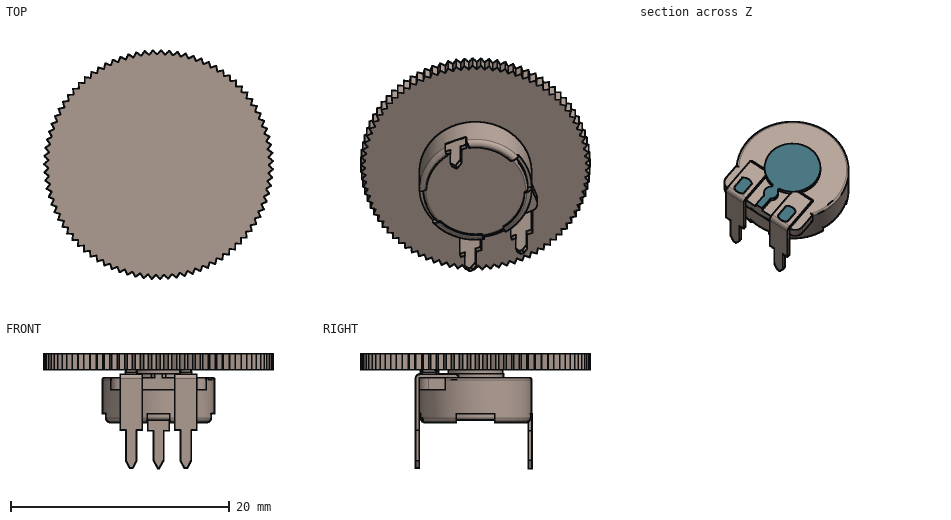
import cadquery as cq
import math


OVERALL_HEIGHT = 10.55

WHEEL_TIP_RADIUS = 10.5
TOOTH_DEPTH = 0.4
TOOTH_COUNT = 87
FIRST_TOOTH_ANGLE = 1.81
WHEEL_BOTTOM = 4.83
WHEEL_THICKNESS = 1.5

HOUSING_DIAMETER = 10.3
HOUSING_HEIGHT = 4.12
HOUSING_BOTTOM_FILLET = 0.47
HOUSING_TOP_FILLET = 0.2
CAVITY_DIAMETER = 9.0
CAVITY_FLOOR = 0.24
CORE_DIAMETER = 9.6
CORE_FILLET = 0.23
NOTCH_HEIGHT = 0.84
SIDE_NOTCH_WIDTH = 3.5
END_NOTCH_WIDTH = 2.1

BLOCK_WIDTH = 8.72
BLOCK_BOTTOM = 3.04
BLOCK_BACK_Y = -2.75
BLOCK_CORNER_RADIUS = 0.82
TAB_WIDTH = 0.72
BOSS_DIAMETER = 1.3
BOSS_Y = -3.3

FLANGE_DIAMETER = 5.15
FLANGE_TOP = 4.48
HUB_DIAMETER = 5.0

SHEET = 0.35
SHEET_TOP = 4.45
BEND_RADIUS = 0.4
OUTER_PITCH = 2.5
OUTER_BLADE_WIDTH = 2.04
OUTER_PIN_WIDTH = 1.0
OUTER_SHOULDER_Z = -0.68
OUTER_TAPER_Z = -3.48
OUTER_TIP_Z = -4.17
OUTER_TIP_WIDTH = 0.28
PAD_BACK_Y = -1.55
PAD_BEVEL = 0.2
CENTER_BLADE_WIDTH = 2.0
CENTER_PIN_WIDTH = 0.96
CENTER_SHOULDER_Z = -0.75
CENTER_TAPER_Z = -3.44
CENTER_TIP_Z = WHEEL_BOTTOM + WHEEL_THICKNESS - OVERALL_HEIGHT
CENTER_TIP_WIDTH = 0.1
CENTER_OUTER_Y = 5.18

RIVET_DIAMETER = 1.7
RIVET_WIDTH = 1.1
RIVET_Y = -4.23
RIVET_CHAMFER_Z = 4.63
RIVET_CHAMFER = 0.1

HOUSING_RADIUS = HOUSING_DIAMETER / 2
BLOCK_FRONT_Y = -HOUSING_RADIUS
TERMINAL_FRONT_Y = BLOCK_FRONT_Y - SHEET


def box(x_range, y_range, z_range):
    """Box spanning the given (low, high) ranges."""
    (x0, x1), (y0, y1), (z0, z1) = x_range, y_range, z_range
    return cq.Workplane("XY").box(x1 - x0, y1 - y0, z1 - z0, centered=False).translate((x0, y0, z0))


def cylinder(diameter, bottom, top):
    """Cylinder on the wheel axis."""
    return cq.Workplane("XY").workplane(offset=bottom).circle(diameter / 2).extrude(top - bottom)


def make_wheel():
    """Disc with straight-flanked V teeth around its rim."""
    half_pitch = math.pi / TOOTH_COUNT
    start = math.radians(FIRST_TOOTH_ANGLE)
    root_radius = WHEEL_TIP_RADIUS - TOOTH_DEPTH
    rim = []
    for step in range(2 * TOOTH_COUNT):
        radius = WHEEL_TIP_RADIUS if step % 2 == 0 else root_radius
        angle = start + step * half_pitch
        rim.append((radius * math.cos(angle), radius * math.sin(angle)))
    return cq.Workplane("XY").workplane(offset=WHEEL_BOTTOM).polyline(rim).close().extrude(WHEEL_THICKNESS)


def make_housing():
    """Round housing with a recessed floor and four notches that reach in to its core."""
    housing = cylinder(HOUSING_DIAMETER, 0, HOUSING_HEIGHT)
    housing = housing.faces("<Z").edges().fillet(HOUSING_BOTTOM_FILLET)
    housing = housing.faces(">Z").edges().fillet(HOUSING_TOP_FILLET)

    notch_length = 2 * HOUSING_DIAMETER
    notches = cq.Workplane("XY").rect(notch_length, SIDE_NOTCH_WIDTH).extrude(NOTCH_HEIGHT)
    notches = notches.union(cq.Workplane("XY").rect(END_NOTCH_WIDTH, notch_length).extrude(NOTCH_HEIGHT))
    recess = cylinder(CAVITY_DIAMETER, 0, CAVITY_FLOOR)
    core = cylinder(CORE_DIAMETER, CAVITY_FLOOR, HOUSING_HEIGHT)
    core = core.faces("<Z").edges().fillet(CORE_FILLET)
    return housing.cut(notches).cut(recess).union(core)


def make_block():
    """Flat-fronted terminal block with a narrow tab and a round boss standing at its middle."""
    block = box(
        (-BLOCK_WIDTH / 2, BLOCK_WIDTH / 2),
        (BLOCK_FRONT_Y, BLOCK_BACK_Y),
        (BLOCK_BOTTOM, HOUSING_HEIGHT),
    )
    block = block.edges("|Z and <Y").fillet(BLOCK_CORNER_RADIUS)
    tab = box(
        (-TAB_WIDTH / 2, TAB_WIDTH / 2),
        (BLOCK_FRONT_Y, 0),
        (HOUSING_HEIGHT, FLANGE_TOP),
    )
    boss = cylinder(BOSS_DIAMETER, HOUSING_HEIGHT, FLANGE_TOP).translate((0, BOSS_Y, 0))
    return block.union(tab).union(boss)


def make_rotor():
    """Stepped hub that carries the wheel."""
    flange = cylinder(FLANGE_DIAMETER, HOUSING_HEIGHT, FLANGE_TOP)
    return flange.union(cylinder(HUB_DIAMETER, FLANGE_TOP, WHEEL_BOTTOM))


def make_blade(top, blade_width, shoulder, pin_width, taper, tip, tip_width, front_y):
    """Upright terminal blade that steps down to a pointed solder pin."""
    right_side = [
        (blade_width / 2, top),
        (blade_width / 2, shoulder),
        (pin_width / 2, shoulder),
        (pin_width / 2, taper),
        (tip_width / 2, tip),
    ]
    left_side = [(-x, z) for x, z in reversed(right_side)]
    blade = cq.Workplane("XZ").polyline(right_side + left_side).close().extrude(-SHEET)
    return blade.translate((0, front_y, 0))


def make_outer_terminal(x):
    """Bent terminal lying on the block, with its rivet."""
    blade = make_blade(
        SHEET_TOP, OUTER_BLADE_WIDTH, OUTER_SHOULDER_Z, OUTER_PIN_WIDTH,
        OUTER_TAPER_Z, OUTER_TIP_Z, OUTER_TIP_WIDTH, TERMINAL_FRONT_Y,
    )
    half_width = OUTER_BLADE_WIDTH / 2
    pad = box(
        (-half_width, half_width),
        (TERMINAL_FRONT_Y, PAD_BACK_Y),
        (SHEET_TOP - SHEET, SHEET_TOP),
    )
    pad = pad.edges(">Y and >Z").chamfer(PAD_BEVEL)
    terminal = blade.union(pad).edges("<Y and >Z").fillet(BEND_RADIUS)
    return terminal.union(make_rivet()).translate((x, 0, 0))


def make_rivet():
    """Round rivet with two flattened sides and a narrower, bevelled top."""
    middle = RIVET_CHAMFER_Z - SHEET_TOP
    crown = WHEEL_BOTTOM - RIVET_CHAMFER_Z
    flat_slab = cq.Workplane("XY").rect(RIVET_WIDTH, RIVET_DIAMETER).extrude(middle + crown)
    rivet = cq.Workplane("XY").circle(RIVET_DIAMETER / 2).extrude(middle + crown).intersect(flat_slab)
    rivet = rivet.faces(">Z").edges().chamfer(RIVET_CHAMFER, crown)
    return rivet.translate((0, RIVET_Y, SHEET_TOP))


def make_center_terminal():
    """Wiper terminal leaving the housing through its +Y notch."""
    front_y = CENTER_OUTER_Y - SHEET
    blade = make_blade(
        NOTCH_HEIGHT, CENTER_BLADE_WIDTH, CENTER_SHOULDER_Z, CENTER_PIN_WIDTH,
        CENTER_TAPER_Z, CENTER_TIP_Z, CENTER_TIP_WIDTH, front_y,
    )
    strip = box(
        (-CENTER_BLADE_WIDTH / 2, CENTER_BLADE_WIDTH / 2),
        (0, CENTER_OUTER_Y),
        (NOTCH_HEIGHT - SHEET, NOTCH_HEIGHT),
    )
    return blade.union(strip)


result = make_housing().union(make_block()).union(make_rotor()).union(make_wheel())
for side in (-1, 1):
    result = result.union(make_outer_terminal(side * OUTER_PITCH))
result = result.union(make_center_terminal())